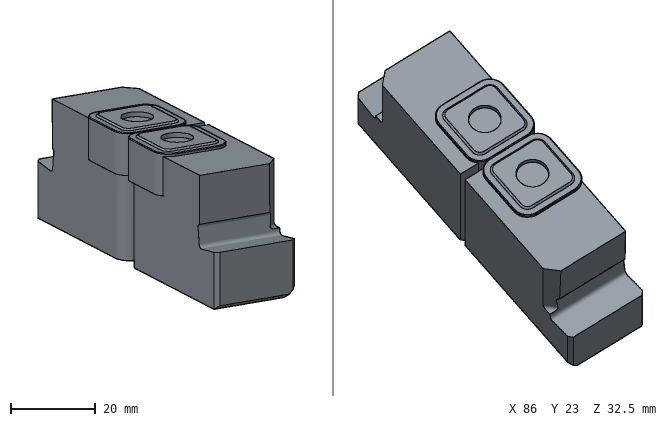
import cadquery as cq
import math


half_length = 42.995
holder_depth = 22.0
holder_height = 31.35
half_gap = 0.95
inner_corner_radius = 4.0
outer_chamfer = 1.0
rear_bottom_chamfer = 3.0

undercut_angle = math.radians(7.5)
undercut_radius = 1.0
ledge_edge_height = 14.25
undercut_top_x = -34.4
undercut_top_z = 18.13
upper_wall_foot_x = -34.97
upper_wall_top_x = -35.19

corner_cut_size = 3.0
corner_cut_floor = 14.9
corner_cut_radius = 0.75

insert_size = 19.05
insert_radius = 4.0
insert_overhang = 0.99
insert_bottom = 21.54
insert_rim_chamfer = 0.22
insert_top = 32.54
pad_height = 0.4
pad_inset = 1.75
pad_flank = 0.5
hole_diameter = 7.75

insert_x = -insert_size / 2
insert_y = insert_size / 2 - insert_overhang


def square_block(size, radius, bottom, height, taper=0):
    """Square prism with rounded corners, standing where the insert stands; taper in degrees."""
    outline = cq.Sketch().rect(size, size).vertices().fillet(radius)
    return (
        cq.Workplane("XY", origin=(insert_x, insert_y, bottom))
        .placeSketch(outline)
        .extrude(height, taper=taper)
    )


def hole_cylinder(bottom, top):
    """Cylinder of the insert's hole between two heights."""
    return (
        cq.Workplane("XY", origin=(insert_x, insert_y, bottom))
        .circle(hole_diameter / 2)
        .extrude(top - bottom)
    )


def holder_blank():
    """Full-height block with its rounded inner corner and bevelled outer and rear edges."""
    blank = cq.Workplane("XY").box(half_length - half_gap, holder_depth, holder_height, centered=False)
    blank = blank.translate((-half_length, 0, 0))
    blank = blank.edges("|Z and >X and <Y").fillet(inner_corner_radius)
    blank = blank.edges("<Z and >Y").chamfer(rear_bottom_chamfer)
    blank = blank.edges("<X and |Z").chamfer(outer_chamfer)
    return blank.edges("<X and <Z").chamfer(outer_chamfer)


def undercut_step():
    """Space above the ledge: sloping floor, leaning wall, two round corners and a tapered upper wall."""
    sine = math.sin(undercut_angle)
    cosine = math.cos(undercut_angle)
    outside_x = -half_length - outer_chamfer

    run = undercut_top_x + half_length
    drop = undercut_top_z - ledge_edge_height
    floor_length = run * cosine - drop * sine
    wall_length = run * sine + drop * cosine

    def on_step(along_floor, up_wall):
        x = -half_length + along_floor * cosine + up_wall * sine
        z = ledge_edge_height - along_floor * sine + up_wall * cosine
        return (x, z)

    radius = undercut_radius
    bend = radius * (1 - math.sqrt(0.5))
    arc_x, arc_z = on_step(floor_length - radius, wall_length)

    def on_upper_arc(angle):
        return (arc_x + radius * math.cos(angle), arc_z + radius * math.sin(angle))

    upper_arc_end = math.acos((upper_wall_foot_x - arc_x) / radius)
    upper_arc_middle = (upper_arc_end - undercut_angle) / 2

    return (
        cq.Workplane("XZ")
        .moveTo(*on_step(-outer_chamfer, 0))
        .lineTo(*on_step(floor_length - radius, 0))
        .threePointArc(on_step(floor_length - bend, bend), on_step(floor_length, radius))
        .lineTo(*on_step(floor_length, wall_length))
        .threePointArc(on_upper_arc(upper_arc_middle), on_upper_arc(upper_arc_end))
        .lineTo(upper_wall_top_x, holder_height)
        .lineTo(outside_x, holder_height)
        .close()
        .extrude(-holder_depth)
    )


def corner_cut():
    """Diagonal cut off the rear corner of the upper wall, rounded into its flat floor."""
    reach = 2 * corner_cut_size
    front_y = holder_depth - corner_cut_size
    return (
        cq.Workplane("XY", origin=(upper_wall_top_x, front_y, corner_cut_floor))
        .moveTo(-reach, -reach)
        .lineTo(reach, reach)
        .lineTo(-reach, reach)
        .close()
        .extrude(holder_height)
        .faces("<Z")
        .edges(cq.selectors.ParallelDirSelector(cq.Vector(1, 1, 0)))
        .fillet(corner_cut_radius)
    )


def make_holder():
    """Holder with its step, its corner cut and the insert's seat around the post."""
    seat = square_block(insert_size, insert_radius, insert_bottom, insert_top - insert_bottom)
    seat = seat.cut(hole_cylinder(insert_bottom, holder_height))
    return holder_blank().cut(undercut_step()).cut(corner_cut()).cut(seat)


def make_insert():
    """Rounded square insert with a bevelled rim, a raised pad and a round through hole."""
    rim_top = insert_top - pad_height
    body = square_block(insert_size, insert_radius, insert_bottom, rim_top - insert_bottom)
    body = body.faces(">Z").edges().chamfer(insert_rim_chamfer)
    pad_taper = math.degrees(math.atan2(pad_flank, pad_height))
    pad = square_block(
        insert_size - 2 * pad_inset, insert_radius - pad_inset, rim_top, pad_height, pad_taper
    )
    return body.union(pad).cut(hole_cylinder(insert_bottom, insert_top))


bodies = []
for half in (make_holder(), make_insert()):
    bodies.append(half.val())
    bodies.append(half.mirror("YZ").val())

result = cq.Compound.makeCompound(bodies)